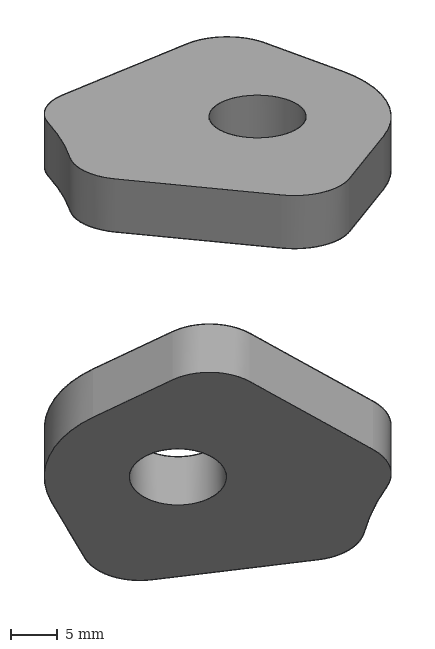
import cadquery as cq
import math

width = 39.7
depth = 36.4
thickness = 6.35
hole_diameter = 10.4
crown_radius = 14.35
corner_radius = 6.27
waist_radius = 38.12
shoulder_y = 0.35
foot_x = 5.1

crown_center = (0.0, 0.0)
shoulder_center = (width / 2 - corner_radius, shoulder_y)
foot_center = (foot_x, crown_radius - depth + corner_radius)


def on_circle(center, radius, angle):
    """Point of a circle at an angle in radians from +X."""
    return (center[0] + radius * math.cos(angle), center[1] + radius * math.sin(angle))


def mirrored(point):
    return (-point[0], point[1])


def tangent_angle(start, start_radius, end, end_radius):
    """Direction of the outer normal shared by two circles, passed clockwise."""
    dx = end[0] - start[0]
    dy = end[1] - start[1]
    return math.atan2(dy, dx) + math.acos((start_radius - end_radius) / math.hypot(dx, dy))


upper_angle = tangent_angle(crown_center, crown_radius, shoulder_center, corner_radius)
lower_angle = tangent_angle(shoulder_center, corner_radius, foot_center, corner_radius)
hollow_angle = -math.acos(-foot_x / (waist_radius + corner_radius))
hollow_center = on_circle(foot_center, waist_radius + corner_radius, hollow_angle)

crown_top = (0.0, crown_radius)
crown_end = on_circle(crown_center, crown_radius, upper_angle)
shoulder_start = on_circle(shoulder_center, corner_radius, upper_angle)
shoulder_middle = on_circle(shoulder_center, corner_radius, (upper_angle + lower_angle) / 2)
shoulder_end = on_circle(shoulder_center, corner_radius, lower_angle)
foot_start = on_circle(foot_center, corner_radius, lower_angle)
foot_middle = on_circle(foot_center, corner_radius, (lower_angle + hollow_angle) / 2)
foot_end = on_circle(foot_center, corner_radius, hollow_angle)
hollow_top = (0.0, hollow_center[1] + waist_radius)

plate = (
    cq.Workplane("XY")
    .moveTo(*mirrored(crown_end))
    .threePointArc(crown_top, crown_end)
    .lineTo(*shoulder_start)
    .threePointArc(shoulder_middle, shoulder_end)
    .lineTo(*foot_start)
    .threePointArc(foot_middle, foot_end)
    .threePointArc(hollow_top, mirrored(foot_end))
    .threePointArc(mirrored(foot_middle), mirrored(foot_start))
    .lineTo(*mirrored(shoulder_end))
    .threePointArc(mirrored(shoulder_middle), mirrored(shoulder_start))
    .close()
    .extrude(thickness)
)

hole = cq.Workplane("XY").circle(hole_diameter / 2).extrude(thickness)

result = plate.cut(hole)